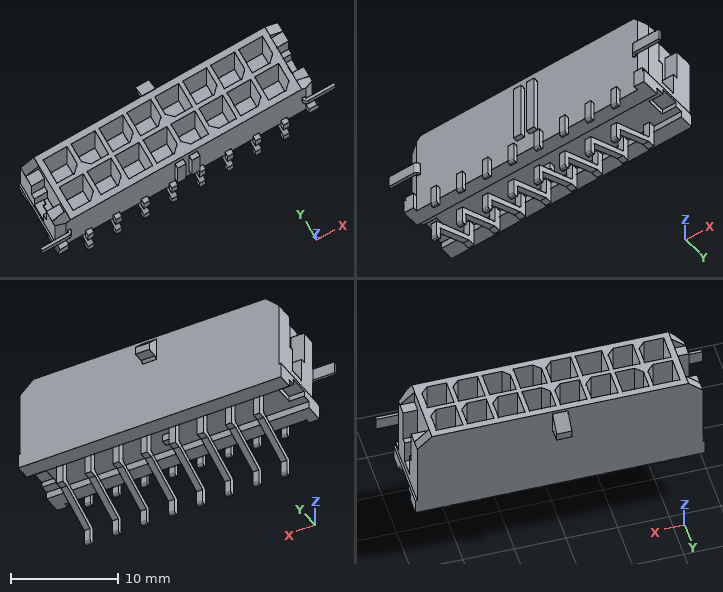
import cadquery as cq


housing_depth = 6.9
housing_height = 9.9
core_half_width = 12.45
post_half_width = 13.85
front_half_width = 12.9
corner_bevel_depth = 0.47
shoulder_height = 8.58
shoulder_ramp_depth = 0.98
mid_depth = housing_depth / 2

skirt_half_width = 14.05
skirt_height = 1.6
front_offset = 0.5
front_foot_height = 2.0

channel_front = 1.52
channel_back = 5.25
channel_height = 0.75
notch_width = 2.03
notch_height = 1.33

slot_wide = 2.8
slot_narrow = 1.7
slot_step_height = 5.05
slot_floor_height = 2.55
pit_half_width = 12.85
pit_tongue_half_width = 13.17
pit_tongue_width = 0.8
pit_depth = 0.32

pitch = 3.0
cavity_size = 2.55
cavity_bevel = 0.65
cavity_depth = 7.6
front_row_y = 1.93
back_row_y = front_row_y + pitch
cavity_rows = [
    (front_row_y, "RR-RLLRR"),
    (back_row_y, "RLRRLRRR"),
]
contact_count = 8

lead_width = 0.65
short_lead_top = 1.33
short_lead_bottom = -0.98
overall_height = 15.4
long_lead_bottom = housing_height - overall_height
long_lead_back = channel_back
long_lead_front = 4.55
long_lead_heel = -1.93
long_lead_inner_bend = -1.27
long_lead_inner_bend_radius = 0.32
tail_thickness = 0.57
tail_inner_bend = -3.5
tail_outer_bend = -4.0
heel_length = 0.8
tip_radius = 0.2

rib_inner_x = 0.32
rib_width = 0.9

latch_width = 1.5
latch_reach = 1.35
latch_top = 9.6
latch_nose_height = 8.23
latch_underside = 7.45
latch_root_bevel = 0.25

tab_half_span = 15.82
tab_root_half_span = 12.47
tab_thickness = 0.32
tab_bottom = 4.65
tab_top = 5.98
tab_bend_radius = 0.45

stub_width = 0.7


def box(x0, x1, y0, y1, z0, z1):
    return cq.Workplane("XY").box(x1 - x0, y1 - y0, z1 - z0, centered=False).translate((x0, y0, z0))


def column_x(column):
    """X position of a contact column, counted from the -X end."""
    return (column - (contact_count - 1) / 2) * pitch


def side_prism(points, width, x_center=0):
    """Extrude a (Y, Z) outline symmetrically about x_center."""
    prism = cq.Workplane("YZ").polyline(points).close().extrude(width / 2, both=True)
    return prism.translate((x_center, 0, 0))


def both_ends(right_end):
    """Combine a feature with its mirror image across the middle of the part."""
    return right_end.union(right_end.mirror("YZ"))


def make_housing():
    plan = [
        (-front_half_width, 0),
        (front_half_width, 0),
        (post_half_width, corner_bevel_depth),
        (post_half_width, housing_depth),
        (-post_half_width, housing_depth),
        (-post_half_width, corner_bevel_depth),
    ]
    elevation = [
        (-post_half_width, 0),
        (post_half_width, 0),
        (post_half_width, shoulder_height),
        (core_half_width, housing_height),
        (-core_half_width, housing_height),
        (-post_half_width, shoulder_height),
    ]
    body = cq.Workplane("XY").polyline(plan).close().extrude(housing_height)
    ramps = cq.Workplane("XZ").polyline(elevation).close().extrude(-housing_depth)
    shoulder_gap = box(core_half_width, post_half_width, shoulder_ramp_depth,
                       housing_depth - shoulder_ramp_depth, shoulder_height, housing_height)
    body = body.intersect(ramps).cut(both_ends(shoulder_gap))

    skirt = box(front_half_width, skirt_half_width, -front_offset, housing_depth, 0, skirt_height)
    foot = box(front_half_width, post_half_width, -front_offset, corner_bevel_depth, 0, front_foot_height)
    return body.union(both_ends(skirt.union(foot)))


def make_keying_slot():
    def centered_cut(x_outer, width, z0, z1):
        return box(core_half_width, x_outer, mid_depth - width / 2, mid_depth + width / 2, z0, z1)

    pit_floor = slot_floor_height - pit_depth
    wide = centered_cut(post_half_width, slot_wide, slot_step_height, shoulder_height)
    narrow = centered_cut(post_half_width, slot_narrow, slot_floor_height, slot_step_height)
    pit = centered_cut(pit_half_width, slot_narrow, pit_floor, slot_floor_height)
    tongue = centered_cut(pit_tongue_half_width, pit_tongue_width, pit_floor, slot_floor_height)
    notch = centered_cut(skirt_half_width, notch_width, 0, notch_height)
    return both_ends(wide.union(narrow).union(pit).union(tongue).union(notch))


def make_cavity(x, y, bevel_side):
    half = cavity_size / 2
    floor = housing_height - cavity_depth
    cavity = box(x - half, x + half, y - half, y + half, floor, housing_height)
    if bevel_side == "R":
        return cavity.edges("|Z and >X and <Y").chamfer(cavity_bevel)
    if bevel_side == "L":
        return cavity.edges("|Z and <X and <Y").chamfer(cavity_bevel)
    return cavity


def round_tip(lead):
    """Round the front and back edges at the lower end of a lead."""
    return lead.faces("<Z").edges("|X").fillet(tip_radius)


def make_short_lead(x):
    half_width = lead_width / 2
    return round_tip(box(x - half_width, x + half_width, -front_offset, 0, short_lead_bottom, short_lead_top))


def make_long_lead(x):
    tail_front = -front_offset
    tail_back = tail_front + tail_thickness
    profile = [
        (long_lead_back, channel_height),
        (long_lead_back, long_lead_heel),
        (long_lead_back - heel_length, long_lead_heel),
        (tail_back, tail_outer_bend),
        (tail_back, long_lead_bottom),
        (tail_front, long_lead_bottom),
        (tail_front, tail_inner_bend),
        (long_lead_front, long_lead_inner_bend),
        (long_lead_front, channel_height),
    ]
    inner_bend = cq.selectors.NearestToPointSelector((x, long_lead_front, long_lead_inner_bend))
    lead = side_prism(profile, lead_width, x).edges(inner_bend).fillet(long_lead_inner_bend_radius)
    return round_tip(lead)


def make_ribs():
    return both_ends(box(rib_inner_x, rib_inner_x + rib_width, -front_offset, 0,
                         front_foot_height, shoulder_height))


def make_latch():
    profile = [
        (housing_depth, latch_top),
        (housing_depth + latch_reach, latch_nose_height),
        (housing_depth + latch_reach, latch_underside),
        (housing_depth + latch_root_bevel, latch_underside),
        (housing_depth, latch_underside - latch_root_bevel),
    ]
    return side_prism(profile, latch_width)


def make_solder_tabs():
    leaf = box(tab_root_half_span, tab_half_span, -front_offset, -front_offset + tab_thickness,
               tab_bottom, tab_top)
    root = box(tab_root_half_span, tab_root_half_span + tab_thickness, -front_offset, 0,
               tab_bottom, tab_top)
    tab = leaf.union(root).edges("|Z and <X and <Y").fillet(tab_bend_radius)
    return both_ends(tab)


result = make_housing().cut(make_keying_slot())
result = result.cut(box(-skirt_half_width, skirt_half_width, channel_front, channel_back, 0, channel_height))
for row_y, bevel_sides in cavity_rows:
    for column, bevel_side in enumerate(bevel_sides):
        result = result.cut(make_cavity(column_x(column), row_y, bevel_side))

result = result.union(make_ribs()).union(make_latch()).union(make_solder_tabs())
result = result.union(box(-stub_width / 2, stub_width / 2, mid_depth - stub_width / 2,
                          mid_depth + stub_width / 2, 0, channel_height))
for column in range(contact_count):
    result = result.union(make_short_lead(column_x(column)))
    result = result.union(make_long_lead(column_x(column)))